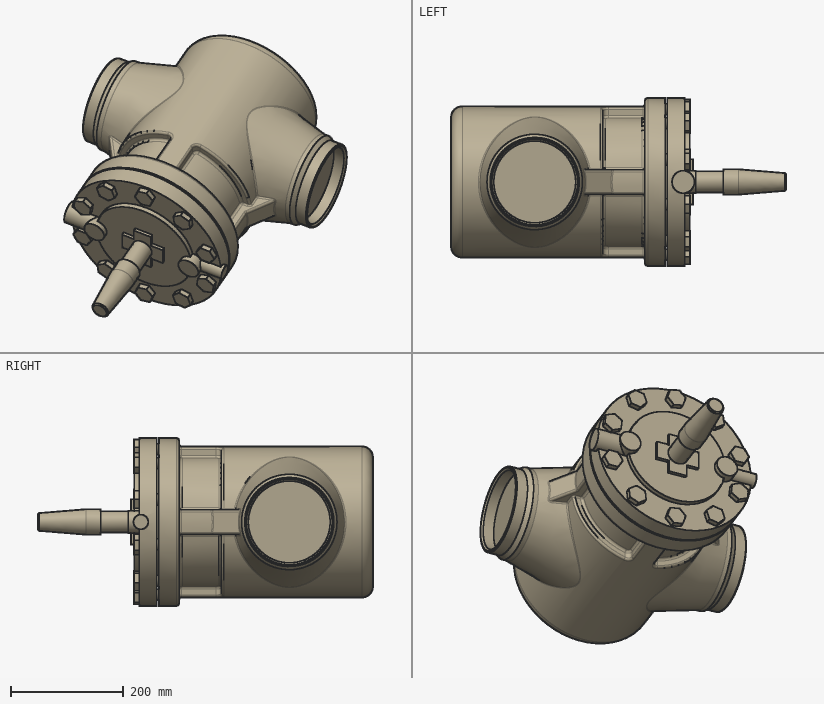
import cadquery as cq
import math


overall_length = 597.5

back_y = 149.5
pocket_y = -121.0
flange_back_y = -196.0
flange_front_y = -232.5
cover_back_y = -236.0
cover_front_y = -267.0
panel_front_y = -276.5
cross_front_y = -282.5
fitting_front_y = -287.0
collar_back_y = -336.5
collar_front_y = -362.5
tip_y = back_y - overall_length

body_d = 270.0
back_round = 20.5
flange_d = 300.0
flange_round = 6.0
flange_root_round = 3.0
gasket_d = 220.0

neck_d = 234.0
rib_w = 44.0
root_round = 5.0
corner_round = 9.5
rim_round = 4.0

rib_edge_r = math.sqrt((body_d / 2) ** 2 - (rib_w / 2) ** 2)

surface_tol = 0.1

slope_min = 0.1

port_span = 450.0
spigot_d = 159.0
spigot_len = 22.0
band_d = 170.0
band_outer_x = 193.5
band_inner_x = 184.5
port_taper = 15.0
bore_d = 146.0
bore_depth = 24.0
mouth_chamfer = 3.5
spigot_chamfer = 2.0
port_blend = 3.0

gusset_foot_y = -139.0
gusset_top_x = 168.5
gusset_top_y = -85.0
gusset_inner_x = 119.5

panel_d = 190.0
cross_len = 81.0
cross_w = 34.5
bolt_count = 10
bolt_circle_d = 259.5
bolt_sides = 6
bolt_flats = 31.5
bolt_front_y = -277.0
shank_d = 20.0
fitting_d = 40.0
fitting_x = 94.5
pipe_y = -264.5
pipe_end_x = 156.0
left_pipe_d = 40.0
right_pipe_d = 26.0

shaft_d = 38.0
collar_d = 46.0
tip_d = 32.0
tip_chamfer = 2.5


def disc(diameter, y_from, y_to, x=0.0):
    """Cylinder parallel to the main axis, from y_from forward to y_to."""
    plane = cq.Workplane("XZ", origin=(x, y_from, 0))
    return plane.circle(diameter / 2).extrude(y_from - y_to)


def make_pocket(x_side, z_side):
    """Cutter for one quarter of the neck, with rounded floor edges and back corner."""
    length = pocket_y - flange_back_y
    offset = rib_w / 2 + body_d / 2
    block = cq.Workplane("XY").box(body_d, length, body_d)
    block = block.translate((x_side * offset, (pocket_y + flange_back_y) / 2, z_side * offset))
    cutter = block.cut(disc(neck_d, back_y, tip_y))
    side_region = cq.selectors.BoxSelector((0, back_y, 0), (x_side * body_d, tip_y, z_side * body_d))
    back_corner = cutter.edges(side_region).edges("|Z").edges(">Y")
    cutter = back_corner.fillet(corner_round)
    floor_region = cq.selectors.BoxSelector(
        (0, back_y, 0),
        (x_side * neck_d / 2, tip_y, z_side * neck_d / 2),
    )
    return cutter.edges(floor_region).fillet(root_round)


def make_body():
    """Round housing with its closed back end, the four neck pockets and the flange."""
    body = disc(body_d, back_y, flange_back_y).faces(">Y").edges().fillet(back_round)
    for x_side in (-1, 1):
        for z_side in (-1, 1):
            body = body.cut(make_pocket(x_side, z_side))
    flange = disc(flange_d, flange_back_y, flange_front_y).faces(">Y").edges().fillet(flange_round)
    return body.union(flange)


def make_port():
    """Port on the +X side: tapered root, raised band and plain spigot."""
    end_x = port_span / 2
    root_r = band_d / 2 + band_inner_x * math.tan(math.radians(port_taper))
    profile = [
        (0, 0),
        (0, root_r),
        (band_inner_x, band_d / 2),
        (band_outer_x, band_d / 2),
        (end_x - spigot_len, spigot_d / 2),
        (end_x - spigot_chamfer, spigot_d / 2),
        (end_x, spigot_d / 2 - spigot_chamfer),
        (end_x, 0),
    ]
    return cq.Workplane("XY").polyline(profile).close().revolve(360, (0, 0, 0), (1, 0, 0))


def make_gusset():
    """Sloping web on the +X side, as wide as the side rib it continues."""
    profile = [
        (rib_edge_r, gusset_foot_y),
        (gusset_top_x, gusset_top_y),
        (gusset_inner_x, gusset_top_y),
        (gusset_inner_x, gusset_foot_y),
    ]
    return cq.Workplane("XY").polyline(profile).close().extrude(rib_w / 2, both=True)


def both_sides(shape):
    """The shape together with its mirror image on the -X side."""
    return shape.union(shape.mirror("YZ"))


def on_body_surface(point):
    return abs(math.hypot(point.x, point.z) - body_d / 2) < surface_tol


def on_rib_wall(point):
    return abs(abs(point.z) - rib_w / 2) < surface_tol and abs(point.x) > rib_edge_r - surface_tol


def is_line_along_x(edge):
    """Straight edges that run at least partly in the X direction."""
    return edge.geomType() == "LINE" and abs(edge.tangentAt(0.5).x) > slope_min


def is_rim(edge):
    """Outer edges of the pockets and ribs, and the long edges of the gussets."""
    middle = edge.positionAt(0.5)
    in_pocket = flange_back_y + surface_tol < middle.y < pocket_y + surface_tol
    if in_pocket and on_body_surface(middle) and on_body_surface(edge.positionAt(0)):
        return True
    is_sloping = is_line_along_x(edge) and abs(edge.tangentAt(0.5).y) > slope_min
    return is_sloping and on_rib_wall(middle)


def is_blend(edge):
    """Inner corners where the ports and gussets meet the body and each other."""
    middle = edge.positionAt(0.5)
    if edge.geomType() == "CIRCLE" or middle.y < pocket_y + surface_tol:
        return False
    port_on_body = abs(middle.x) < rib_edge_r and on_body_surface(middle)
    gusset_side = on_rib_wall(middle) and not is_line_along_x(edge)
    gusset_end = edge.geomType() == "ELLIPSE" and abs(middle.z) < surface_tol
    return port_on_body or gusset_side or gusset_end


def is_flange_root(edge):
    """Inner corners where the ribs meet the back of the flange."""
    middle = edge.positionAt(0.5)
    radius = math.hypot(middle.x, middle.z)
    at_flange = abs(middle.y - flange_back_y) < surface_tol
    return at_flange and neck_d / 2 + root_round < radius < body_d / 2 + surface_tol


def round_edges(part, chosen, radius):
    edges = [edge for edge in part.edges().vals() if chosen(edge)]
    return part.newObject(edges).fillet(radius)


def make_housing():
    """Body, ports and gussets with rounded edges and a shallow bore in each port."""
    housing = make_body().union(both_sides(make_port())).union(both_sides(make_gusset()))
    housing = round_edges(housing, is_rim, rim_round)
    housing = round_edges(housing, is_blend, port_blend)
    housing = round_edges(housing, is_flange_root, flange_root_round)
    bore = cq.Workplane("YZ", origin=(port_span / 2 - bore_depth, 0, 0))
    bore = bore.circle(bore_d / 2).extrude(bore_depth)
    mouth = cq.Workplane("YZ", origin=(port_span / 2 - mouth_chamfer, 0, 0)).circle(bore_d / 2)
    bore = bore.union(mouth.extrude(mouth_chamfer, taper=-45))
    return housing.cut(bore).cut(bore.mirror("YZ"))


def make_bolts():
    """Hex heads on the cover, with their shanks crossing the gap to the flange."""
    corner_d = bolt_flats / math.cos(math.pi / bolt_sides)
    pitch = 360 / bolt_count
    bolt = cq.Workplane("XZ", origin=(0, cover_front_y, 0)).polygon(bolt_sides, corner_d)
    bolt = bolt.extrude(cover_front_y - bolt_front_y)
    bolt = bolt.union(disc(shank_d, flange_front_y, cover_front_y))
    first_angle = math.radians(pitch / 2)
    radius = bolt_circle_d / 2
    bolt = bolt.translate((radius * math.cos(first_angle), 0, radius * math.sin(first_angle)))
    bolts = bolt
    for index in range(1, bolt_count):
        bolts = bolts.union(bolt.rotate((0, 0, 0), (0, 1, 0), index * pitch))
    return bolts


def make_cover():
    """Gasket, cover plate, raised panel and the cross around the shaft."""
    cover = disc(gasket_d, flange_front_y, cover_back_y)
    cover = cover.union(disc(flange_d, cover_back_y, cover_front_y))
    cover = cover.union(disc(panel_d, cover_front_y, panel_front_y))
    for width, height in ((cross_len, cross_w), (cross_w, cross_len)):
        bar = cq.Workplane("XZ", origin=(0, panel_front_y, 0)).rect(width, height)
        cover = cover.union(bar.extrude(panel_front_y - cross_front_y))
    return cover


def make_fitting(x_side, pipe_d):
    """Round boss on the cover with a pipe running outward from it."""
    boss = disc(fitting_d, cover_front_y, fitting_front_y, x_side * fitting_x)
    pipe = cq.Workplane("YZ", origin=(x_side * fitting_x, pipe_y, 0)).circle(pipe_d / 2)
    return boss.union(pipe.extrude(x_side * (pipe_end_x - fitting_x)))


def make_shaft():
    """Plain shaft, collar and cone ending in a chamfered tip."""
    profile = [
        (0, cover_front_y),
        (shaft_d / 2, cover_front_y),
        (shaft_d / 2, collar_back_y),
        (collar_d / 2, collar_back_y),
        (collar_d / 2, collar_front_y),
        (tip_d / 2, tip_y + tip_chamfer),
        (tip_d / 2 - tip_chamfer, tip_y),
        (0, tip_y),
    ]
    return cq.Workplane("XY").polyline(profile).close().revolve(360, (0, 0, 0), (0, 1, 0))


result = make_housing().union(make_cover()).union(make_bolts()).union(make_shaft())
result = result.union(make_fitting(-1, left_pipe_d)).union(make_fitting(1, right_pipe_d))